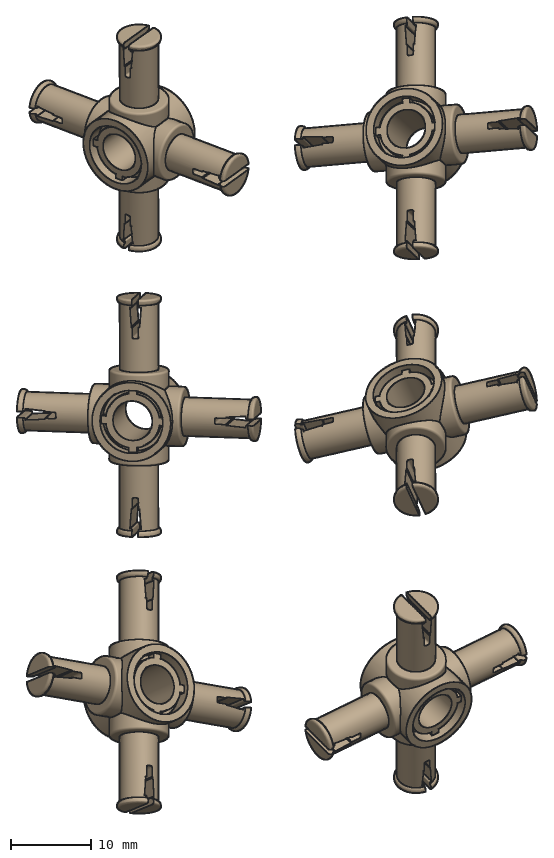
import cadquery as cq

HUB_DIAMETER = 10.0
HUB_LENGTH = 10.0
BORE_DIAMETER = 5.0

COUNTERBORE_DIAMETER = 8.0
COUNTERBORE_DEPTH = 0.8
GROOVE_INNER_DIAMETER = 6.9
GROOVE_DEPTH = 1.2
RIB_WIDTH = 1.0

ARM_COUNT = 4
ARM_ANGLE = 360.0 / ARM_COUNT
ARM_REACH = 15.1
COLLAR_DIAMETER = 7.5
COLLAR_REACH = 5.85
COLLAR_FILLET = 0.3
PIN_DIAMETER = 4.88
RIM_DIAMETER = 5.56
RIM_TIP_HEIGHT = 0.25
RIM_BACK_HEIGHT = 0.53

SLOT_WIDTH = 0.8
SLOT_WIDE_WIDTH = 1.42
SLOT_LEDGE_WIDTH = 1.04
SLOT_LENGTH = 5.0
SLOT_MOUTH_LENGTH = 1.05
SLOT_TAPER_END = 3.5
SLOT_LEDGE_DROP = 0.1
SLOT_MOUTH_RADIUS = 0.2
SLOT_FLOOR_RADIUS = 0.25


def cylinder_y(diameter, start, end):
    """Cylinder centred on the Y axis between two Y positions."""
    return cq.Workplane("XZ", origin=(0, start, 0)).circle(diameter / 2).extrude(start - end)


def make_arm():
    """Collar and rimmed pin pointing along +Z, starting at the hub centre."""
    collar = cq.Workplane("XY").circle(COLLAR_DIAMETER / 2).extrude(COLLAR_REACH)
    collar = collar.faces(">Z").edges().fillet(COLLAR_FILLET)
    pin = cq.Workplane("XY").circle(PIN_DIAMETER / 2).extrude(ARM_REACH)
    pin_radius = PIN_DIAMETER / 2
    overhang = (RIM_DIAMETER - PIN_DIAMETER) / 2
    rim_base = ARM_REACH - RIM_TIP_HEIGHT - RIM_BACK_HEIGHT
    rim = (
        cq.Workplane("XZ")
        .moveTo(0, rim_base)
        .lineTo(pin_radius, rim_base)
        .ellipseArc(overhang, RIM_BACK_HEIGHT, 270, 360)
        .ellipseArc(overhang, RIM_TIP_HEIGHT, 0, 90)
        .lineTo(0, ARM_REACH)
        .close()
        .revolve(360, (0, 0, 0), (0, 1, 0))
    )
    return collar.union(pin).union(rim)


def make_slot():
    """Slot through a +Z pin along Y: narrow mouth, wide tapering middle, narrow foot."""
    narrow = SLOT_WIDTH / 2
    ledge = SLOT_LEDGE_WIDTH / 2
    wide = SLOT_WIDE_WIDTH / 2
    mouth_end = ARM_REACH - SLOT_MOUTH_LENGTH
    taper_end = ARM_REACH - SLOT_TAPER_END
    floor = ARM_REACH - SLOT_LENGTH
    straight = (
        cq.Workplane("XZ")
        .center(0, (ARM_REACH + floor) / 2)
        .rect(SLOT_WIDTH, SLOT_LENGTH)
        .extrude(RIM_DIAMETER, both=True)
        .faces("<Z").edges("|Y").fillet(SLOT_FLOOR_RADIUS)
    )
    lip = mouth_end + SLOT_MOUTH_RADIUS
    taper = (
        cq.Workplane("XZ")
        .moveTo(-narrow, taper_end - SLOT_LEDGE_DROP)
        .lineTo(-ledge, taper_end)
        .lineTo(-wide, mouth_end)
        .lineTo(-narrow - SLOT_MOUTH_RADIUS, mouth_end)
        .radiusArc((-narrow, lip), -SLOT_MOUTH_RADIUS)
        .lineTo(narrow, lip)
        .radiusArc((narrow + SLOT_MOUTH_RADIUS, mouth_end), -SLOT_MOUTH_RADIUS)
        .lineTo(wide, mouth_end)
        .lineTo(ledge, taper_end)
        .lineTo(narrow, taper_end - SLOT_LEDGE_DROP)
        .close()
        .extrude(RIM_DIAMETER, both=True)
    )
    return straight.union(taper)


def make_end_recess():
    """Counterbore and ribbed groove sunk into the -Y end of the hub."""
    face = -HUB_LENGTH / 2
    floor = face + COUNTERBORE_DEPTH
    groove_floor = floor + GROOVE_DEPTH
    groove = cylinder_y(COUNTERBORE_DIAMETER, floor, groove_floor)
    groove = groove.cut(cylinder_y(GROOVE_INNER_DIAMETER, floor, groove_floor))
    middle = (floor + groove_floor) / 2
    rib_x = cq.Workplane("XY").box(COUNTERBORE_DIAMETER, GROOVE_DEPTH, RIB_WIDTH)
    rib_z = cq.Workplane("XY").box(RIB_WIDTH, GROOVE_DEPTH, COUNTERBORE_DIAMETER)
    ribs = rib_x.union(rib_z).translate((0, middle, 0))
    return cylinder_y(COUNTERBORE_DIAMETER, face, floor).union(groove.cut(ribs))


def make_part():
    """Hub with four split-pin arms, then the bore and the recess at each hub end."""
    body = cylinder_y(HUB_DIAMETER, -HUB_LENGTH / 2, HUB_LENGTH / 2)
    arm = make_arm().cut(make_slot())
    for index in range(ARM_COUNT):
        body = body.union(arm.rotate((0, 0, 0), (0, 1, 0), index * ARM_ANGLE))
    body = body.cut(cylinder_y(BORE_DIAMETER, -HUB_LENGTH / 2, HUB_LENGTH / 2))
    recess = make_end_recess()
    return body.cut(recess).cut(recess.mirror("XZ"))


result = make_part()